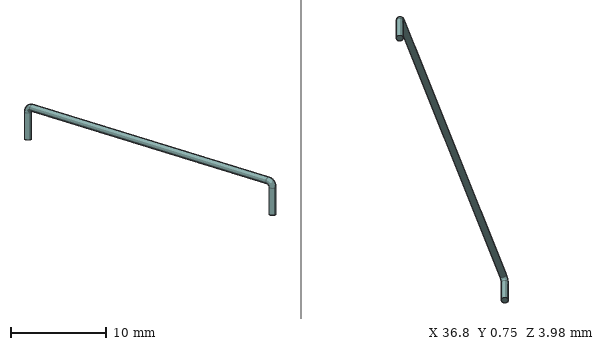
import cadquery as cq

wire_diameter = 0.75
lead_pitch = 36.0
leg_length = 3.0
bend_radius = 0.6

wire_radius = wire_diameter / 2
half_pitch = lead_pitch / 2
leg_bottom_z = 0.0
bend_start_z = leg_bottom_z + leg_length
span_axis_z = bend_start_z + bend_radius
span_end_x = half_pitch - bend_radius


def wire_axis():
    """Centre line: left leg, bend, span, bend, right leg."""
    return (
        cq.Workplane("XZ")
        .moveTo(-half_pitch, leg_bottom_z)
        .lineTo(-half_pitch, bend_start_z)
        .tangentArcPoint((-span_end_x, span_axis_z), relative=False)
        .lineTo(span_end_x, span_axis_z)
        .tangentArcPoint((half_pitch, bend_start_z), relative=False)
        .lineTo(half_pitch, leg_bottom_z)
    )


def wire_section():
    """Round section at the foot of the left leg."""
    return cq.Workplane("XY", origin=(-half_pitch, 0, leg_bottom_z)).circle(wire_radius)


result = wire_section().sweep(wire_axis())